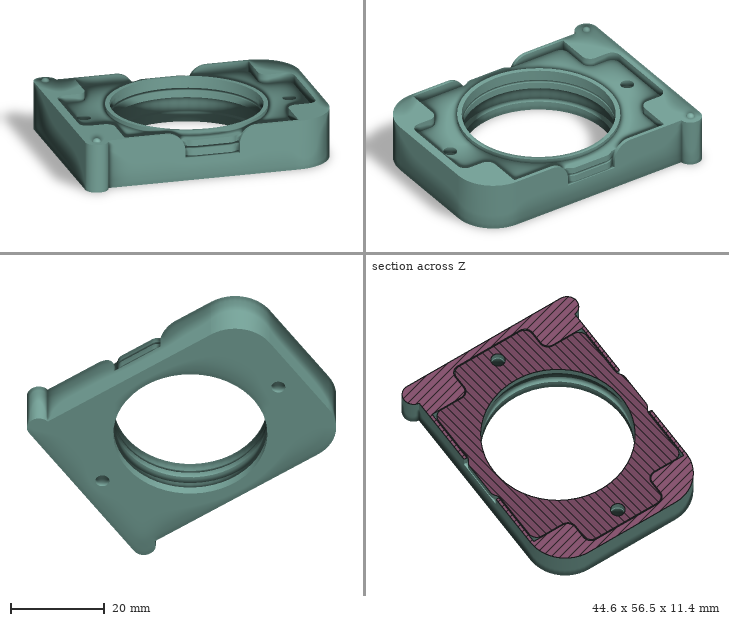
import cadquery as cq
import math

length = 56.45
width = 40.2
rear_height = 11.0
front_height = 10.8
rear_corner_radius = 9.0

overall_width = 44.6
ear_radius = 2.5
ear_depth = 5.1
bump_radius = 1.0
bump_top = 11.45

floor_height = 5.1
pocket_half_x = 19.3
pocket_half_y = 19.3
pocket_tab_half_width = 9.95
pocket_tab_end = 26.3
corner_radius = 2.0

notch_half_width = 6.05
notch_radius = 4.0

plate_play_x = 0.15
plate_play_y = 0.05
tab_play = 0.1
side_tab_flat_half_width = 3.95
lower_plate_bottom = 5.5
lower_plate_top = 7.0
upper_plate_bottom = 7.6
upper_plate_top = 9.0

bore_diameter = 32.9
ring_diameter = 34.9
ring_top = 10.0
counterbore_diameter = 35.4
counterbore_bottom = 2.05
screw_hole_diameter = 3.0
screw_hole_offset = 22.8

selection_margin = 0.05


def cylinder(diameter, bottom, top, x=0.0, y=0.0):
    """Upright cylinder between two heights."""
    return cq.Workplane("XY", origin=(x, y, bottom)).circle(diameter / 2).extrude(top - bottom)


def block(x_size, y_size, bottom, top):
    """Box centred on the Z axis between two heights."""
    return cq.Workplane("XY", origin=(0, 0, bottom)).rect(x_size, y_size).extrude(top - bottom)


def cross(half_x, half_y, tab_half_width, tab_end, bottom, top):
    """Rectangle with a front and a rear tab, rounded where the tabs join it and at their ends."""
    tabs = block(2 * tab_half_width, 2 * tab_end, bottom, top).edges("|Z").fillet(corner_radius)
    body = block(2 * half_x, 2 * half_y, bottom, top).union(tabs)
    inner_corners = cq.selectors.BoxSelector(
        (-tab_half_width - selection_margin, -half_y - selection_margin, bottom),
        (tab_half_width + selection_margin, half_y + selection_margin, top),
    )
    return body.edges("|Z").edges(inner_corners).fillet(corner_radius)


def drill_screw_holes(body):
    for y in (-screw_hole_offset, screw_hole_offset):
        body = body.cut(cylinder(screw_hole_diameter, 0, rear_height, y=y))
    return body


def side_notch():
    """Notch through both side rails: straight below, flaring out to the rail tops in quarter rounds."""
    bend = notch_radius * math.sqrt(0.5)

    def flare(side, top):
        outer = side * (notch_half_width + notch_radius)
        arc_middle = (outer - side * bend, top - notch_radius + bend)
        return outer, arc_middle

    front_outer, front_middle = flare(-1, front_height)
    rear_outer, rear_middle = flare(1, rear_height)
    return (
        cq.Workplane("YZ", origin=(-width / 2, 0, 0))
        .moveTo(-notch_half_width, floor_height)
        .lineTo(-notch_half_width, front_height - notch_radius)
        .threePointArc(front_middle, (front_outer, front_height))
        .lineTo(front_outer, rear_height)
        .lineTo(rear_outer, rear_height)
        .threePointArc(rear_middle, (notch_half_width, rear_height - notch_radius))
        .lineTo(notch_half_width, floor_height)
        .close()
        .extrude(width)
    )


def build_housing():
    ear_y = (ear_depth - length) / 2
    rear_half = block(width, length, 0, rear_height).edges("|Z and >Y").fillet(rear_corner_radius)
    rear_half = rear_half.cut(block(width, length, 0, rear_height).translate((0, -length / 2, 0)))
    front_half = block(width, -ear_y, 0, front_height).translate((0, ear_y / 2, 0))

    front_bar = block(overall_width, ear_depth, 0, front_height).edges("|Z").fillet(ear_radius)
    front_bar = front_bar.translate((0, ear_y, 0))
    body = rear_half.union(front_half).union(front_bar)

    ear_x = overall_width / 2 - ear_radius
    for x in (-ear_x, ear_x):
        bump = cq.Workplane("XY", origin=(x, ear_y, bump_top - bump_radius)).sphere(bump_radius)
        body = body.union(bump)

    pocket = cross(
        pocket_half_x, pocket_half_y, pocket_tab_half_width, pocket_tab_end, floor_height, rear_height
    )
    body = body.cut(pocket).cut(side_notch())
    body = body.cut(cylinder(bore_diameter, 0, floor_height))
    body = body.cut(cylinder(counterbore_diameter, counterbore_bottom, floor_height))
    return drill_screw_holes(body)


def side_tabs(plate_half_x, bottom, top):
    """Tabs that fill the notches out to the rail faces, their flanks blending in S-curves."""
    reach = width / 2
    flat = side_tab_flat_half_width
    rise = (reach - plate_half_x) / 2
    run = math.sqrt(corner_radius**2 - (corner_radius - rise) ** 2)
    quarter = (
        cq.Workplane("XY", origin=(0, 0, bottom))
        .lineTo(reach, 0)
        .lineTo(reach, flat)
        .tangentArcPoint((reach - rise, flat + run), relative=False)
        .tangentArcPoint((plate_half_x, flat + 2 * run), relative=False)
        .lineTo(0, flat + 2 * run)
        .close()
        .extrude(top - bottom)
    )
    return quarter.mirror("XZ", union=True).mirror("YZ", union=True)


def plate_blank(bottom, top):
    half_x = pocket_half_x - plate_play_x
    half_y = pocket_half_y - plate_play_y
    blank = cross(
        half_x, half_y, pocket_tab_half_width - tab_play, pocket_tab_end - tab_play, bottom, top
    )
    blank = blank.edges("|Z and (>X or <X)").fillet(corner_radius)
    return blank.union(side_tabs(half_x, bottom, top))


def build_lower_plate():
    plate = plate_blank(lower_plate_bottom, lower_plate_top)
    plate = plate.cut(cylinder(bore_diameter, 0, rear_height))
    return drill_screw_holes(plate)


def build_upper_plate():
    plate = plate_blank(upper_plate_bottom, upper_plate_top)
    plate = plate.union(cylinder(ring_diameter, upper_plate_bottom, ring_top))
    plate = plate.cut(cylinder(bore_diameter, 0, rear_height))
    return drill_screw_holes(plate)


housing = build_housing()
lower_plate = build_lower_plate()
upper_plate = build_upper_plate()

result = cq.Compound.makeCompound([housing.val(), lower_plate.val(), upper_plate.val()])